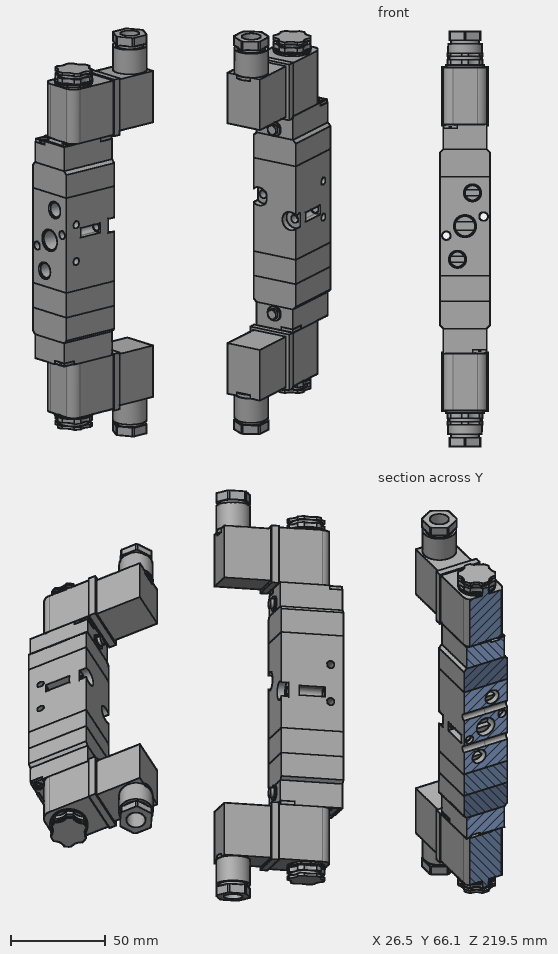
import cadquery as cq
import math


VALVE_WIDTH = 26.5
VALVE_DEPTH = 34.0
BODY_HEIGHT = 52.3
CAP_HEIGHT = 14.5
SPACER_HEIGHT = 13.6
CAP_CHAMFER = 1.8

SUPPLY_PORT_RADIUS = 5.3
SIDE_PORT_RADIUS = 4.0
PORT_DEPTH = 11.0
PORT_CHAMFER = 0.7
SIDE_PORT_X = 4.0
SIDE_PORT_Z = 17.5
SUPPLY_SLOT_HEIGHT = 4.6
SIDE_SLOT_HEIGHT = 3.3
PORT_SLOT_DEPTH = 3.3

FRONT_BOLT_RADIUS = 2.2
FRONT_BOLT_X = 9.9
FRONT_BOLT_Z = 5.0
CROSS_BOLT_RADIUS = 2.0
CROSS_BOLT_Y = 7.0
CROSS_BOLT_Z = 10.0

WINDOW_RADIUS = 2.6
WINDOW_Y = 10.0
WINDOW_LENGTH = 14.0
COUNTERBORE_RADIUS = 5.0
COUNTERBORE_DEPTH = 4.2

PILOT_HEIGHT = 13.2
PILOT_WIDTH = VALVE_WIDTH - 2 * CAP_CHAMFER
RELIEF_DEPTH = 0.2
RELIEF_HEIGHT = 2.0
RELIEF_LENGTH_X = 7.5
RELIEF_LENGTH_Y = 7.0
REAR_RELIEF_LENGTH_Y = 8.0
RIM = 1.3
VENT_RADIUS = 2.6
VENT_DEPTH = 1.0
VENT_X = 6.0
VENT_Y = 7.2
SCREW_RADIUS = 2.5
SCREW_SOCKET_RADIUS = 1.3
SCREW_DEPTH = 1.0
SCREW_X = -8.0
SCREW_Y = 3.0
OVERRIDE_Z = 4.2
OVERRIDE_FLANGE_RADIUS = 4.0
OVERRIDE_FLANGE_THICKNESS = 0.9
OVERRIDE_KNOB_RADIUS = 2.6
OVERRIDE_LENGTH = 2.9

COIL_FRONT_Y = 6.1
COIL_REAR_Y = 35.0
COIL_HEIGHT = 29.9
COIL_CORNER_RADIUS = 5.0
GASKET_WIDTH = 24.4
GASKET_THICKNESS = 4.0
GASKET_OVERHANG = 0.7
PLUG_WIDTH = 20.5
PLUG_REAR_Y = 64.3
PLUG_Z = 0.9
PLUG_TOP_Z = 29.2
GLAND_Y = 56.9
GLAND_RADIUS = 9.0
GLAND_TOP_Z = 42.5
GLAND_ROOT_RADIUS = 8.5
GLAND_ROOT_DEPTH = 2.0
GLAND_NECK_RADIUS = 7.5
GLAND_NECK_HEIGHT = 1.8
GLAND_NUT_FLATS = 16.5
GLAND_NUT_ROUND_RADIUS = 9.2
GLAND_NUT_HEIGHT = 4.8
CABLE_HOLE_RADIUS = 5.0

NUT_Y = VALVE_DEPTH / 2
NUT_RADIUS = 9.9
NUT_NECK_RADIUS = 8.1
NUT_COLLAR_RADIUS = 10.0
NUT_BASE_HEIGHT = 1.8
NUT_COLLAR_HEIGHT = 0.7
NUT_LOWER_FLANGE_HEIGHT = 2.6
NUT_NECK_HEIGHT = 1.8
NUT_UPPER_FLANGE_HEIGHT = 1.5
SCALLOP_COUNT = 6
SCALLOP_RADIUS = 6.1
SCALLOP_FLOOR_RADIUS = 8.3

BODY_TOP = BODY_HEIGHT / 2
SPACER_BOTTOM = -BODY_TOP - SPACER_HEIGHT


def box(x0, x1, y0, y1, z0, z1):
    return cq.Workplane("XY").box(x1 - x0, y1 - y0, z1 - z0, centered=False).translate((x0, y0, z0))


def block(width, y0, y1, z0, z1):
    """Box centred on X = 0."""
    return box(-width / 2, width / 2, y0, y1, z0, z1)


def rod_x(radius, y, z, length):
    """Cylinder along X, centred on X = 0."""
    return cq.Workplane("YZ").center(y, z).circle(radius).extrude(length / 2, both=True)


def rod_y(radius, x, z, y0, length):
    """Cylinder that starts at y0 and runs toward +Y."""
    return cq.Workplane("XZ", origin=(x, y0, z)).circle(radius).extrude(-length)


def rod_z(radius, x, y, z0, height):
    """Cylinder that starts at z0 and runs toward +Z."""
    return cq.Workplane("XY", origin=(x, y, z0)).circle(radius).extrude(height)


def port(radius, slot_height, x, z):
    """Cutter for a front port: countersunk bore with a horizontal slot in its floor."""
    bore = rod_y(radius, x, z, 0, PORT_DEPTH)
    mouth = cq.Workplane(
        cq.Solid.makeCone(
            radius + PORT_CHAMFER, radius, PORT_CHAMFER, cq.Vector(x, 0, z), cq.Vector(0, 1, 0)
        )
    )
    slot_end = PORT_DEPTH + PORT_SLOT_DEPTH
    slot = box(x - radius, x + radius, PORT_DEPTH, slot_end, z - slot_height / 2, z + slot_height / 2)
    slot = slot.intersect(rod_y(radius, x, z, 0, slot_end))
    return bore.union(mouth).union(slot)


def front_bolt_hole(x, z):
    """Cutter for a through hole along Y, with a rear counterbore and a window to the near side face."""
    hole = rod_y(FRONT_BOLT_RADIUS, x, z, 0, VALVE_DEPTH)
    counterbore = rod_y(COUNTERBORE_RADIUS, x, z, VALVE_DEPTH - COUNTERBORE_DEPTH, COUNTERBORE_DEPTH)
    chamber = rod_y(WINDOW_RADIUS, x, z, WINDOW_Y, WINDOW_LENGTH)
    side_x = math.copysign(VALVE_WIDTH / 2, x)
    window = box(
        min(x, side_x),
        max(x, side_x),
        WINDOW_Y,
        WINDOW_Y + WINDOW_LENGTH,
        z - WINDOW_RADIUS,
        z + WINDOW_RADIUS,
    )
    return hole.union(counterbore).union(chamber).union(window)


def make_valve_body():
    body = block(VALVE_WIDTH, 0, VALVE_DEPTH, -BODY_TOP, BODY_TOP)
    body = body.cut(port(SUPPLY_PORT_RADIUS, SUPPLY_SLOT_HEIGHT, 0, 0))
    for side in (1, -1):
        body = body.cut(port(SIDE_PORT_RADIUS, SIDE_SLOT_HEIGHT, side * SIDE_PORT_X, side * SIDE_PORT_Z))
        body = body.cut(front_bolt_hole(side * FRONT_BOLT_X, side * FRONT_BOLT_Z))
        body = body.cut(rod_x(CROSS_BOLT_RADIUS, CROSS_BOLT_Y, side * CROSS_BOLT_Z, VALVE_WIDTH))
    return body


def make_cap():
    """End cap standing on z = 0, its top side edges bevelled down to the pilot width."""
    cap = block(VALVE_WIDTH, 0, VALVE_DEPTH, 0, CAP_HEIGHT)
    return cap.faces(">Z").edges("|Y").chamfer(CAP_CHAMFER)


def make_spacer():
    return block(VALVE_WIDTH, 0, VALVE_DEPTH, SPACER_BOTTOM, -BODY_TOP)


def make_pilot():
    """Pilot block standing on z = 0."""
    half = PILOT_WIDTH / 2
    floor = PILOT_HEIGHT - RELIEF_DEPTH
    relief_z = PILOT_HEIGHT - RELIEF_HEIGHT
    relief_x = half - RELIEF_LENGTH_X
    pilot = block(PILOT_WIDTH, 0, VALVE_DEPTH, 0, PILOT_HEIGHT)

    pilot = pilot.cut(box(-half, -relief_x, 0, RELIEF_LENGTH_Y, floor, PILOT_HEIGHT))
    pilot = pilot.cut(box(-relief_x, half - RIM, RIM, COIL_FRONT_Y + COIL_CORNER_RADIUS, floor, PILOT_HEIGHT))

    rear_y = VALVE_DEPTH - REAR_RELIEF_LENGTH_Y
    pilot = pilot.cut(box(-half, -relief_x, 0, RELIEF_DEPTH, relief_z, PILOT_HEIGHT))
    pilot = pilot.cut(box(-half, RELIEF_DEPTH - half, 0, RELIEF_LENGTH_Y, relief_z, PILOT_HEIGHT))
    pilot = pilot.cut(box(relief_x, half, VALVE_DEPTH - RELIEF_DEPTH, VALVE_DEPTH, relief_z, PILOT_HEIGHT))
    pilot = pilot.cut(box(half - RELIEF_DEPTH, half, rear_y, VALVE_DEPTH, relief_z, PILOT_HEIGHT))

    pilot = pilot.cut(rod_z(VENT_RADIUS, VENT_X, VENT_Y, floor - VENT_DEPTH, VENT_DEPTH))
    pilot = pilot.cut(rod_z(SCREW_RADIUS, SCREW_X, SCREW_Y, floor - SCREW_DEPTH, SCREW_DEPTH))
    pilot = pilot.cut(rod_z(SCREW_SOCKET_RADIUS, SCREW_X, SCREW_Y, floor - 2 * SCREW_DEPTH, SCREW_DEPTH))

    flange = rod_y(OVERRIDE_FLANGE_RADIUS, 0, OVERRIDE_Z, VALVE_DEPTH, OVERRIDE_FLANGE_THICKNESS)
    knob = rod_y(OVERRIDE_KNOB_RADIUS, 0, OVERRIDE_Z, VALVE_DEPTH, OVERRIDE_LENGTH)
    return pilot.union(flange).union(knob)


def scalloped_flange(z0, height):
    """Round flange with evenly spaced scallops in its rim."""
    flange = rod_z(NUT_RADIUS, 0, NUT_Y, z0, height)
    reach = SCALLOP_FLOOR_RADIUS + SCALLOP_RADIUS
    for i in range(SCALLOP_COUNT):
        angle = 2 * math.pi * i / SCALLOP_COUNT
        x = reach * math.cos(angle)
        y = NUT_Y + reach * math.sin(angle)
        flange = flange.cut(rod_z(SCALLOP_RADIUS, x, y, z0, height))
    return flange


def make_coil_nut():
    collar_z = COIL_HEIGHT + NUT_BASE_HEIGHT - NUT_COLLAR_HEIGHT
    lower_z = COIL_HEIGHT + NUT_BASE_HEIGHT
    neck_z = lower_z + NUT_LOWER_FLANGE_HEIGHT
    upper_z = neck_z + NUT_NECK_HEIGHT
    nut = rod_z(NUT_RADIUS, 0, NUT_Y, COIL_HEIGHT, NUT_BASE_HEIGHT)
    nut = nut.union(rod_z(NUT_COLLAR_RADIUS, 0, NUT_Y, collar_z, NUT_COLLAR_HEIGHT))
    nut = nut.union(scalloped_flange(lower_z, NUT_LOWER_FLANGE_HEIGHT))
    nut = nut.union(rod_z(NUT_NECK_RADIUS, 0, NUT_Y, neck_z, NUT_NECK_HEIGHT))
    return nut.union(scalloped_flange(upper_z, NUT_UPPER_FLANGE_HEIGHT))


def make_plug():
    """Square plug with its cable gland."""
    neck_top = GLAND_TOP_Z + GLAND_NECK_HEIGHT
    gland_top = neck_top + GLAND_NUT_HEIGHT
    root_z = PLUG_TOP_Z - GLAND_ROOT_DEPTH
    plug = block(PLUG_WIDTH, COIL_REAR_Y, PLUG_REAR_Y, PLUG_Z, PLUG_TOP_Z)
    plug = plug.union(rod_z(GLAND_ROOT_RADIUS, 0, GLAND_Y, root_z, GLAND_ROOT_DEPTH))
    plug = plug.union(rod_z(GLAND_RADIUS, 0, GLAND_Y, PLUG_TOP_Z, GLAND_TOP_Z - PLUG_TOP_Z))
    plug = plug.union(rod_z(GLAND_NECK_RADIUS, 0, GLAND_Y, GLAND_TOP_Z, GLAND_NECK_HEIGHT))

    corner_diameter = GLAND_NUT_FLATS / math.cos(math.pi / 6)
    gland_nut = cq.Workplane("XY").polygon(6, corner_diameter).extrude(GLAND_NUT_HEIGHT)
    gland_nut = gland_nut.intersect(rod_z(GLAND_NUT_ROUND_RADIUS, 0, 0, 0, GLAND_NUT_HEIGHT))
    gland_nut = gland_nut.rotate((0, 0, 0), (0, 0, 1), 90).translate((0, GLAND_Y, neck_top))
    plug = plug.union(gland_nut)
    return plug.cut(rod_z(CABLE_HOLE_RADIUS, 0, GLAND_Y, PLUG_TOP_Z, gland_top - PLUG_TOP_Z))


def make_solenoid():
    """Coil, gasket, plug and coil nut, standing on z = 0."""
    coil = block(PILOT_WIDTH, COIL_FRONT_Y, COIL_REAR_Y, 0, COIL_HEIGHT)
    coil = coil.faces("<Y").edges("|Z").fillet(COIL_CORNER_RADIUS)
    gasket = block(
        GASKET_WIDTH,
        COIL_REAR_Y,
        COIL_REAR_Y + GASKET_THICKNESS,
        -GASKET_OVERHANG,
        COIL_HEIGHT + GASKET_OVERHANG,
    )
    return coil.union(gasket).union(make_plug()).union(make_coil_nut())


def place_upper(part, z):
    return part.translate((0, 0, z))


def place_lower(part, z):
    """Turn a part half a turn about Y so that it hangs below z."""
    return part.rotate((0, 0, 0), (0, 1, 0), 180).translate((0, 0, z))


valve_body = make_valve_body()
spacer = make_spacer()
end_parts = []
for place, inner_end, direction in ((place_upper, BODY_TOP, 1), (place_lower, SPACER_BOTTOM, -1)):
    cap_end = inner_end + direction * CAP_HEIGHT
    pilot_end = cap_end + direction * PILOT_HEIGHT
    end_parts.append(place(make_cap(), inner_end).val())
    end_parts.append(place(make_pilot(), cap_end).val())
    end_parts.append(place(make_solenoid(), pilot_end).val())

result = cq.Compound.makeCompound([valve_body.val(), spacer.val(), *end_parts])